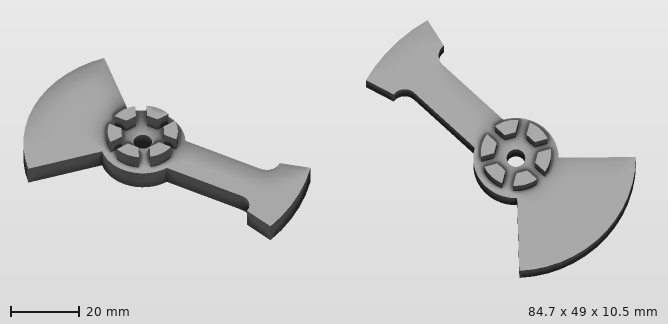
import cadquery as cq
import math

plate_thickness = 6.0
total_height = 10.5
hub_radius = 12.45
bore_diameter = 5.4

blade_reach = 34.7
blade_corner_x = 25.0
blade_width = 49.0

arm_width = 12.0
tip_radius = 50.0
tip_inner_radius = 40.7
tip_half_angle = math.radians(15)
neck_radius = 4.0

lug_count = 6
lug_outer_radius = 10.25
lug_inner_apothem = 6.2
lug_gap = 3.3


def polar(radius, angle):
    return radius * math.cos(angle), radius * math.sin(angle)


def make_blade():
    half_width = blade_width / 2
    return (
        cq.Workplane("XY")
        .lineTo(-blade_corner_x, half_width)
        .threePointArc((-blade_reach, 0), (-blade_corner_x, -half_width))
        .close()
        .extrude(plate_thickness)
    )


def make_arm():
    half_width = arm_width / 2
    shoulder_x, shoulder_y = polar(tip_inner_radius, tip_half_angle)
    tip_x, tip_y = polar(tip_radius, tip_half_angle)

    neck_center_y = half_width + neck_radius
    rise = shoulder_y - neck_center_y
    neck_x = shoulder_x - math.sqrt(neck_radius**2 - rise**2)
    neck_mid_angle = (math.asin(rise / neck_radius) - math.pi / 2) / 2
    mid_dx, mid_dy = polar(neck_radius, neck_mid_angle)
    neck_mid_x = neck_x + mid_dx
    neck_mid_y = neck_center_y + mid_dy

    return (
        cq.Workplane("XY")
        .moveTo(0, -half_width)
        .lineTo(neck_x, -half_width)
        .threePointArc((neck_mid_x, -neck_mid_y), (shoulder_x, -shoulder_y))
        .lineTo(tip_x, -tip_y)
        .threePointArc((tip_radius, 0), (tip_x, tip_y))
        .lineTo(shoulder_x, shoulder_y)
        .threePointArc((neck_mid_x, neck_mid_y), (neck_x, half_width))
        .lineTo(0, half_width)
        .close()
        .extrude(plate_thickness)
    )


def make_lugs():
    hexagon_diameter = 2 * lug_inner_apothem / math.cos(math.pi / lug_count)
    lugs = (
        cq.Workplane("XY")
        .circle(lug_outer_radius)
        .polygon(lug_count, hexagon_diameter)
        .extrude(total_height)
    )
    for index in range(lug_count // 2):
        slot = cq.Workplane("XY").rect(2 * hub_radius, lug_gap).extrude(total_height)
        slot_angle = index * 360 / lug_count
        lugs = lugs.cut(slot.rotate((0, 0, 0), (0, 0, 1), slot_angle))
    return lugs


hub = cq.Workplane("XY").circle(hub_radius).extrude(plate_thickness)
bore = cq.Workplane("XY").circle(bore_diameter / 2).extrude(total_height)

result = hub.union(make_blade()).union(make_arm()).union(make_lugs()).cut(bore)